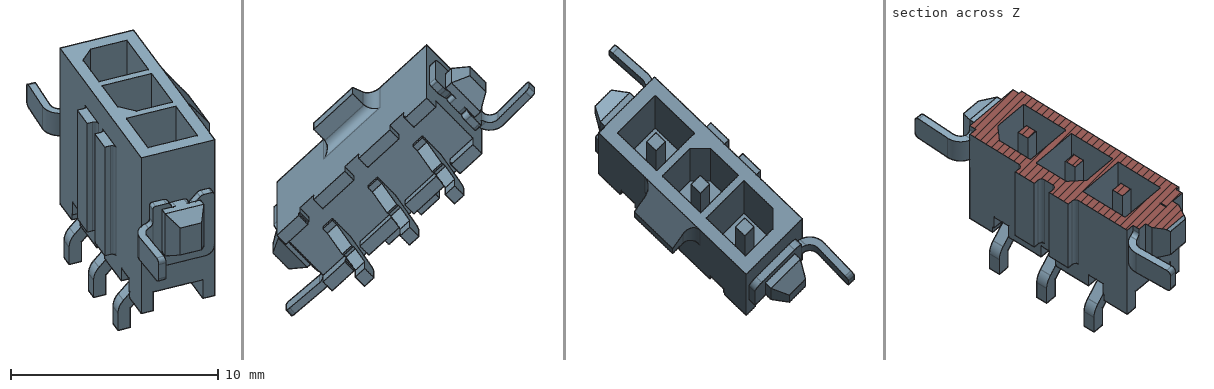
import cadquery as cq
import math


BODY_WIDTH = 10.01
BODY_DEPTH = 3.87
BODY_HEIGHT = 9.21
PITCH = 3.0
PIN_X = (-PITCH, 0, PITCH)
PIN_SIZE = 0.63
PIN_Y = BODY_DEPTH / 2

WALL = 0.63
POCKET_DEPTH = 7.31
POCKET_LENGTH = BODY_DEPTH - 2 * WALL
MIDDLE_POCKET_WIDTH = 2.6
OUTER_POCKET_WIDTH = 2.66
KEY_CHAMFER = 0.7
PIN_TIP_BELOW_TOP = 1.95

CHANNEL_HEIGHT = 1.1
FOOT_GAP_WIDTH = 7.08
FOOT_GAP_HEIGHT = 0.34
NOTCH_WIDTH = 0.93

FRONT_REACH = 0.5
RIB_WIDTH = 1.22
RIB_SPACING = 2.16
RIB_BOTTOM = 1.41
RIB_TOP = 7.83
RIB_ROOT_RADIUS = 0.21

LATCH_REACH = 1.3
LATCH_WIDTH = 2.6
LATCH_SLOPE_DROP = 1.8
LATCH_UNDERSIDE = BODY_HEIGHT - 2.91
LATCH_ROOT_RADIUS = 0.58
LATCH_UNDER_RADIUS = 0.52

LEAD_BOTTOM = -1.95
LEAD_THICKNESS = 0.65
LEAD_BEND_RADIUS = 0.96
LEAD_BEND_TOP = -0.25
LEAD_ROOT_BACK = 2.4
LEAD_ROOT_DROP = 0.32
LEAD_STEP = 0.11
LEAD_STEP_Y = 0.95
LEAD_STEP_Z = -0.15

SHEET = 0.39
CLIP_FRONT = 0.44
CLIP_BACK = 3.67
CLIP_BOTTOM = 2.8
CLIP_TOP = 6.44
CLIP_TOP_RADIUS = 0.49
CLIP_BOTTOM_RADIUS = 0.15
TAB_WIDTH = 1.33
TAB_TILT = 2.3
TAB_REACH = 8.12
TAB_ROOT_RADIUS = 0.25
TAB_END_RADIUS = 0.25
PEG_LENGTH_Y = 2.03
PEG_HEIGHT = 2.5
PEG_BOTTOM = 3.07
PEG_STRAIGHT = 0.39
PEG_TAPER_LENGTH = 0.8
PEG_INSET = 0.45
NECK_WIDTH = 1.0
NECK_RADIUS = 0.2
SLOT_FRONT_RADIUS = 0.28
SLOT_BACK_RADIUS = 0.28
SLOT_BLEND_RADIUS = 0.55
SLOT_FLARE = 0.57

COS_45 = math.sqrt(0.5)

half_width = BODY_WIDTH / 2
clip_mid_z = (CLIP_BOTTOM + CLIP_TOP) / 2
peg_mid_z = PEG_BOTTOM + PEG_HEIGHT / 2


def box(x_range, y_range, z_range):
    size = [high - low for low, high in (x_range, y_range, z_range)]
    corner = (x_range[0], y_range[0], z_range[0])
    return cq.Workplane("XY").box(*size, centered=False).translate(corner)


def centred_box(x, width, y_range, z_range):
    return box((x - width / 2, x + width / 2), y_range, z_range)


def pocket(x, width):
    return centred_box(
        x, width, (WALL, WALL + POCKET_LENGTH), (BODY_HEIGHT - POCKET_DEPTH, BODY_HEIGHT)
    )


def make_housing():
    depth_range = (0, BODY_DEPTH)
    housing = centred_box(0, BODY_WIDTH, depth_range, (0, BODY_HEIGHT))

    left = pocket(-PITCH, OUTER_POCKET_WIDTH).edges("|Z and <X and <Y").chamfer(KEY_CHAMFER)
    middle = pocket(0, MIDDLE_POCKET_WIDTH).edges("|Z and >X and <Y").chamfer(KEY_CHAMFER)
    right = pocket(PITCH, OUTER_POCKET_WIDTH)
    housing = housing.cut(left).cut(middle).cut(right)

    channel = centred_box(0, BODY_WIDTH, (WALL, BODY_DEPTH - WALL), (0, CHANNEL_HEIGHT))
    foot_gap = centred_box(0, FOOT_GAP_WIDTH, depth_range, (0, FOOT_GAP_HEIGHT))
    housing = housing.cut(channel).cut(foot_gap)
    for x in PIN_X:
        housing = housing.cut(centred_box(x, NOTCH_WIDTH, depth_range, (0, CHANNEL_HEIGHT)))
    return housing


def make_rib(x):
    """Upright rib with concave roots where it meets the front face."""
    half = RIB_WIDTH / 2
    root = RIB_ROOT_RADIUS
    bulge = root * (1 - COS_45)
    return (
        cq.Workplane("XY")
        .workplane(offset=RIB_BOTTOM)
        .moveTo(x - half - root, 0)
        .threePointArc((x - half - bulge, -bulge), (x - half, -root))
        .lineTo(x - half, -FRONT_REACH)
        .lineTo(x + half, -FRONT_REACH)
        .lineTo(x + half, -root)
        .threePointArc((x + half + bulge, -bulge), (x + half + root, 0))
        .close()
        .extrude(RIB_TOP - RIB_BOTTOM)
    )


def make_latch():
    """Ramped latch: a flared plan outline trimmed to the ramp's side profile."""
    back = BODY_DEPTH
    tip = back + LATCH_REACH
    half = LATCH_WIDTH / 2
    side = LATCH_ROOT_RADIUS
    side_bulge = side * (1 - COS_45)
    plan = (
        cq.Workplane("XY")
        .moveTo(-half - side, back)
        .threePointArc((-half - side_bulge, back + side_bulge), (-half, back + side))
        .lineTo(-half, tip)
        .lineTo(half, tip)
        .lineTo(half, back + side)
        .threePointArc((half + side_bulge, back + side_bulge), (half + side, back))
        .close()
        .extrude(BODY_HEIGHT)
    )
    under = LATCH_UNDER_RADIUS
    under_bulge = under * (1 - COS_45)
    profile = (
        cq.Workplane("YZ")
        .moveTo(back, BODY_HEIGHT)
        .lineTo(tip, BODY_HEIGHT - LATCH_SLOPE_DROP)
        .lineTo(tip, LATCH_UNDERSIDE)
        .lineTo(back + under, LATCH_UNDERSIDE)
        .threePointArc(
            (back + under_bulge, LATCH_UNDERSIDE - under_bulge), (back, LATCH_UNDERSIDE - under)
        )
        .close()
        .extrude(half + side, both=True)
    )
    return plan.intersect(profile)


def make_pin(x):
    """Square contact pin, standing from the underside channel up into its pocket."""
    half = PIN_SIZE / 2
    return centred_box(
        x, PIN_SIZE, (PIN_Y - half, PIN_Y + half), (CHANNEL_HEIGHT, BODY_HEIGHT - PIN_TIP_BELOW_TOP)
    )


def make_lead(x):
    """Lead that leaves the channel at 45 degrees and bends down in front of the housing."""
    front = -FRONT_REACH
    back = front + LEAD_THICKNESS
    bend_centre_y = front + LEAD_BEND_RADIUS
    bend_bottom = LEAD_BEND_TOP - LEAD_BEND_RADIUS * COS_45
    bend_top_y = bend_centre_y - LEAD_BEND_RADIUS * COS_45
    half_turn = math.radians(45) / 2
    bend_mid = (
        bend_centre_y - LEAD_BEND_RADIUS * math.cos(half_turn),
        bend_bottom + LEAD_BEND_RADIUS * math.sin(half_turn),
    )
    front_offset = LEAD_BEND_TOP - bend_top_y
    narrow_offset = front_offset - LEAD_THICKNESS / COS_45
    root_z = CHANNEL_HEIGHT - LEAD_ROOT_DROP
    wide_offset = LEAD_STEP_Z - LEAD_STEP_Y - 2 * LEAD_STEP
    return (
        cq.Workplane("YZ")
        .moveTo(front, LEAD_BOTTOM)
        .lineTo(front, bend_bottom)
        .threePointArc(bend_mid, (bend_top_y, LEAD_BEND_TOP))
        .lineTo(CHANNEL_HEIGHT - front_offset, CHANNEL_HEIGHT)
        .lineTo(LEAD_ROOT_BACK, CHANNEL_HEIGHT)
        .lineTo(LEAD_ROOT_BACK, root_z)
        .lineTo(root_z - wide_offset, root_z)
        .lineTo(LEAD_STEP_Y + LEAD_STEP, LEAD_STEP_Z - LEAD_STEP)
        .lineTo(LEAD_STEP_Y, LEAD_STEP_Z)
        .lineTo(LEAD_STEP_Z - narrow_offset, LEAD_STEP_Z)
        .lineTo(back, back + narrow_offset)
        .lineTo(back, LEAD_BOTTOM)
        .close()
        .extrude(PIN_SIZE / 2, both=True)
        .translate((x, 0, 0))
    )


def make_bent_sheet():
    """Left clip seen from above: plate on the housing's side, bend, and outward tab."""
    inner_radius = CLIP_FRONT + FRONT_REACH - SHEET
    outer_radius = inner_radius + SHEET
    centre_x = -half_width - outer_radius
    tilt = math.radians(TAB_TILT)

    def on_bend(radius, angle):
        return (centre_x + radius * math.cos(angle), CLIP_FRONT - radius * math.sin(angle))

    end_angle = math.pi / 2 + tilt
    outer_end = on_bend(outer_radius, end_angle)
    inner_end = on_bend(inner_radius, end_angle)
    tab_length = (TAB_REACH + outer_end[0]) / math.cos(tilt)
    along = (-tab_length * math.cos(tilt), tab_length * math.sin(tilt))
    return (
        cq.Workplane("XY")
        .workplane(offset=CLIP_BOTTOM)
        .moveTo(-half_width, CLIP_BACK)
        .lineTo(-half_width, CLIP_FRONT)
        .threePointArc(on_bend(outer_radius, end_angle / 2), outer_end)
        .lineTo(outer_end[0] + along[0], outer_end[1] + along[1])
        .lineTo(inner_end[0] + along[0], inner_end[1] + along[1])
        .lineTo(*inner_end)
        .threePointArc(on_bend(inner_radius, end_angle / 2), (-half_width - SHEET, CLIP_FRONT))
        .lineTo(-half_width - SHEET, CLIP_BACK)
        .close()
        .extrude(CLIP_TOP - CLIP_BOTTOM)
    )


def make_clip_outline():
    """Left clip seen from the side: plate, tab strip and the slot that straddles the peg."""
    plate = box((-TAB_REACH, 0), (CLIP_FRONT, CLIP_BACK), (CLIP_BOTTOM, CLIP_TOP))
    plate = plate.edges("|X and >Z").fillet(CLIP_TOP_RADIUS)
    plate = plate.edges("|X and <Z").fillet(CLIP_BOTTOM_RADIUS)

    strip_front = -2 * FRONT_REACH
    tab_bottom = clip_mid_z - TAB_WIDTH / 2
    tab_top = clip_mid_z + TAB_WIDTH / 2
    root = TAB_ROOT_RADIUS
    bulge = root * (1 - COS_45)
    strip = (
        cq.Workplane("YZ")
        .moveTo(strip_front, tab_bottom)
        .lineTo(CLIP_FRONT - root, tab_bottom)
        .threePointArc((CLIP_FRONT - bulge, tab_bottom - bulge), (CLIP_FRONT, tab_bottom - root))
        .lineTo(CLIP_FRONT, tab_top + root)
        .threePointArc((CLIP_FRONT - bulge, tab_top + bulge), (CLIP_FRONT - root, tab_top))
        .lineTo(strip_front, tab_top)
        .close()
        .extrude(-TAB_REACH)
    )

    slot_front = PIN_Y - NECK_WIDTH / 2
    slot_back = PIN_Y + NECK_WIDTH / 2
    slot = (
        cq.Workplane("YZ")
        .moveTo(slot_front, CLIP_BOTTOM)
        .lineTo(slot_back + SLOT_FLARE, CLIP_BOTTOM)
        .lineTo(slot_back, CLIP_BOTTOM + SLOT_FLARE)
        .lineTo(slot_back, peg_mid_z)
        .lineTo(slot_front, peg_mid_z)
        .close()
        .extrude(-TAB_REACH)
    )
    plate = plate.cut(slot)

    def slot_edge(y, z):
        return cq.selectors.NearestToPointSelector((-TAB_REACH / 2, y, z))

    plate = plate.edges(slot_edge(slot_back, CLIP_BOTTOM + SLOT_FLARE)).fillet(SLOT_BLEND_RADIUS)
    plate = plate.edges(slot_edge(slot_back + SLOT_FLARE, CLIP_BOTTOM)).fillet(SLOT_BACK_RADIUS)
    plate = plate.edges(slot_edge(slot_front, CLIP_BOTTOM)).fillet(SLOT_FRONT_RADIUS)
    return plate.union(strip)


def make_left_peg():
    """Tapered peg on a narrow neck that passes through the clip's slot."""
    neck = (
        cq.Workplane("YZ", origin=(-half_width, PIN_Y, peg_mid_z))
        .rect(NECK_WIDTH, PEG_HEIGHT)
        .extrude(-SHEET)
        .edges("|X")
        .fillet(NECK_RADIUS)
    )
    head = (
        cq.Workplane("YZ", origin=(-half_width - SHEET, PIN_Y, peg_mid_z))
        .rect(PEG_LENGTH_Y, PEG_HEIGHT)
        .extrude(-PEG_STRAIGHT)
    )
    taper_angle = math.degrees(math.atan(PEG_INSET / PEG_TAPER_LENGTH))
    tip = head.faces("<X").workplane().rect(PEG_LENGTH_Y, PEG_HEIGHT)
    return tip.extrude(PEG_TAPER_LENGTH, taper=taper_angle).union(neck)


def make_left_side():
    clip = make_bent_sheet().intersect(make_clip_outline())
    tab_corners = clip.faces("<X").edges("#Z").edges(">Z or <Z")
    clip = tab_corners.fillet(TAB_END_RADIUS)
    return clip.union(make_left_peg())


result = make_housing().union(make_latch())
for rib_x in (-RIB_SPACING / 2, RIB_SPACING / 2):
    result = result.union(make_rib(rib_x))
for pin_x in PIN_X:
    result = result.union(make_pin(pin_x)).union(make_lead(pin_x))

left_side = make_left_side()
right_side = left_side.rotate((0, 0, clip_mid_z), (0, 1, clip_mid_z), 180)
result = result.union(left_side).union(right_side)